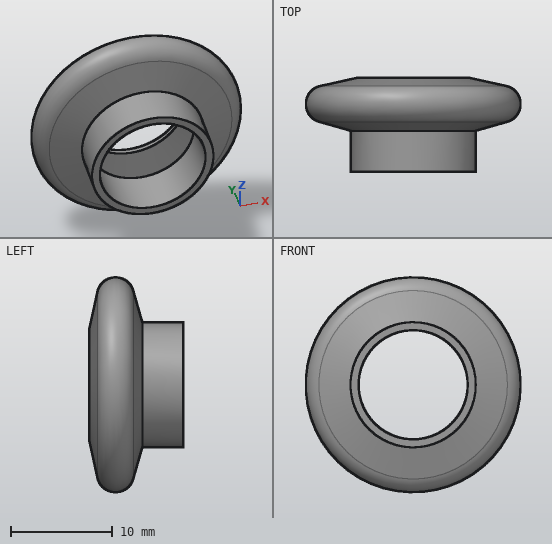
import cadquery as cq
import math

outer_radius = 10.58
tube_radius = 6.15
wall = 0.8
back_opening_radius = 5.55
total_length = 9.25
tube_length = 4.02

rim_edge_radius = 9.26
rim_front = 4.9
rim_back = 8.42
rim_middle = (rim_front + rim_back) / 2

front_slope = math.atan2(rim_front - tube_length, rim_edge_radius - tube_radius)
back_slope = math.atan2(total_length - rim_back, rim_edge_radius - back_opening_radius)

bore_radius = tube_radius - wall
bore_length = tube_length + wall / math.cos(front_slope) - wall * math.tan(front_slope)
inner_rim_front = (
    rim_edge_radius - wall * math.sin(front_slope),
    rim_front + wall * math.cos(front_slope),
)
inner_rim_middle = (outer_radius - wall, rim_middle)
inner_rim_back = (
    rim_edge_radius - wall * math.sin(back_slope),
    rim_back - wall * math.cos(back_slope),
)
inner_back_opening = (
    back_opening_radius - wall * math.sin(back_slope),
    total_length - wall * math.cos(back_slope),
)

front_y = -total_length / 2
profile = (
    cq.Workplane("XY")
    .workplane(origin=(0, front_y, 0))
    .moveTo(tube_radius, 0)
    .lineTo(tube_radius, tube_length)
    .lineTo(rim_edge_radius, rim_front)
    .threePointArc((outer_radius, rim_middle), (rim_edge_radius, rim_back))
    .lineTo(back_opening_radius, total_length)
    .lineTo(*inner_back_opening)
    .lineTo(*inner_rim_back)
    .threePointArc(inner_rim_middle, inner_rim_front)
    .lineTo(bore_radius, bore_length)
    .lineTo(bore_radius, 0)
    .close()
)

result = profile.revolve(360, (0, 0, 0), (0, 1, 0))